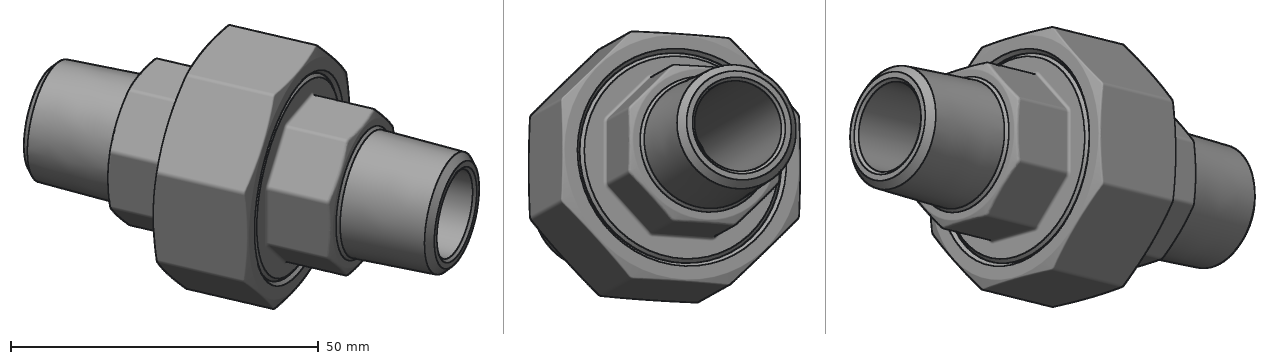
import cadquery as cq
import math

length = 73.0
mid_x = length / 2
octagon_sides = 8
corner_fillet = 1.0
crown_angle = 20.0

nut_width = 17.0
nut_flats = 41.0
nut_crown_diameter = 40.45
nut_edge_fillet = 0.3
bore_mouth_diameter = 36.0
nut_start = mid_x - nut_width / 2
nut_end = nut_start + nut_width

collar_diameter = 34.75
collar_face_diameter = 33.5
collar_recess = 0.15
collar_start = nut_start + collar_recess

wrench_start = 16.5
wrench_flats = 26.0
wrench_crown_diameter = 25.0
wrench_edge_fillet = 0.5
foot_fillet = 0.5

tip_diameter = 20.45
tip_face_diameter = 18.0
taper_rate = 1 / 16
root_flare = 0.5

pipe_bore_diameter = 15.0
pipe_bore_chamfer = 0.5


def revolved(points):
    """Solid of revolution about the X axis from (x, radius) points."""
    return cq.Workplane("XY").polyline(points).close().revolve(360, (0, 0, 0), (1, 0, 0))


def octagon_corner_diameter(flats):
    """Diameter across the sharp corners of an octagon, from its width across flats."""
    return flats / math.cos(math.pi / octagon_sides)


def octagon_prism(start, end, flats):
    """Octagonal prism along X, from x = start to x = end, with rounded corners and flats facing Y and Z."""
    return (
        cq.Workplane("YZ", origin=(start, 0, 0))
        .transformed(rotate=(0, 0, 180 / octagon_sides))
        .polygon(octagon_sides, octagon_corner_diameter(flats))
        .extrude(end - start)
        .edges("|X")
        .fillet(corner_fillet)
    )


def crown_envelope(start, end, flats, crown_diameter):
    """Round body with a shallow cone at its start; an octagon common with it gets a crown."""
    crown_radius = crown_diameter / 2
    outer_radius = octagon_corner_diameter(flats) / 2
    crown_depth = (outer_radius - crown_radius) * math.tan(math.radians(crown_angle))
    return revolved([
        (start, 0),
        (start, crown_radius),
        (start + crown_depth, outer_radius),
        (end, outer_radius),
        (end, 0),
    ])


def make_nut():
    """Octagonal nut, crowned at both ends, with a bore that is chamfered at both mouths."""
    envelope = crown_envelope(nut_start, nut_end, nut_flats, nut_crown_diameter)
    octagon = octagon_prism(nut_start, nut_end, nut_flats)
    octagon = octagon.intersect(envelope)
    octagon = octagon.intersect(envelope.mirror("YZ", (mid_x, 0, 0)))
    octagon = octagon.faces("%CONE").edges().fillet(nut_edge_fillet)

    bore_radius = collar_diameter / 2
    mouth_radius = bore_mouth_diameter / 2
    mouth_depth = mouth_radius - bore_radius
    bore = revolved([
        (nut_start, 0),
        (nut_start, mouth_radius),
        (nut_start + mouth_depth, bore_radius),
        (nut_end - mouth_depth, bore_radius),
        (nut_end, mouth_radius),
        (nut_end, 0),
    ])
    return octagon.cut(bore)


def wrench_octagon():
    """Octagon of a tailpiece, crowned on the end that faces the spud."""
    envelope = crown_envelope(wrench_start, collar_start, wrench_flats, wrench_crown_diameter)
    octagon = octagon_prism(wrench_start, collar_start, wrench_flats).intersect(envelope)
    return octagon.faces("%CONE").edges().fillet(wrench_edge_fillet)


def collar():
    """Round collar of a tailpiece, from just inside the nut face to the middle of the union."""
    face_radius = collar_face_diameter / 2
    radius = collar_diameter / 2
    chamfer = radius - face_radius
    return revolved([
        (collar_start, 0),
        (collar_start, face_radius),
        (collar_start + chamfer, radius),
        (mid_x, radius),
        (mid_x, 0),
    ])


def spud():
    """Tapered end of a tailpiece, with a 45 degree tip chamfer and a 45 degree flare at its root."""
    tip_radius = tip_diameter / 2
    face_radius = tip_face_diameter / 2
    radius_rate = taper_rate / 2
    tip_chamfer = tip_radius - face_radius
    root_start = wrench_start - root_flare
    root_radius = tip_radius + root_start * radius_rate
    return revolved([
        (0, 0),
        (0, face_radius),
        (tip_chamfer, tip_radius + tip_chamfer * radius_rate),
        (root_start, root_radius),
        (wrench_start, root_radius + root_flare),
        (wrench_start, 0),
    ])


def pipe_bore():
    """Through bore of a tailpiece, chamfered at the open end."""
    radius = pipe_bore_diameter / 2
    return revolved([
        (0, 0),
        (0, radius + pipe_bore_chamfer),
        (pipe_bore_chamfer, radius),
        (mid_x, radius),
        (mid_x, 0),
    ])


def make_tailpiece(turn):
    """Tailpiece with its open end at x = 0, turned about the vertical through the union's middle."""
    body = wrench_octagon().union(collar())
    foot_reach = collar_face_diameter / 2 - foot_fillet
    foot_zone = cq.selectors.BoxSelector(
        (collar_start - foot_fillet, -foot_reach, -foot_reach),
        (collar_start + foot_fillet, foot_reach, foot_reach),
        boundingbox=True,
    )
    body = body.edges(foot_zone).fillet(foot_fillet)
    body = body.union(spud()).cut(pipe_bore())
    return body.rotate((mid_x, 0, 0), (mid_x, 0, 1), turn)


nut = make_nut()
tailpieces = [make_tailpiece(turn) for turn in (0, 180)]

result = cq.Compound.makeCompound([
    nut.val(),
    *[tailpiece.val() for tailpiece in tailpieces],
])